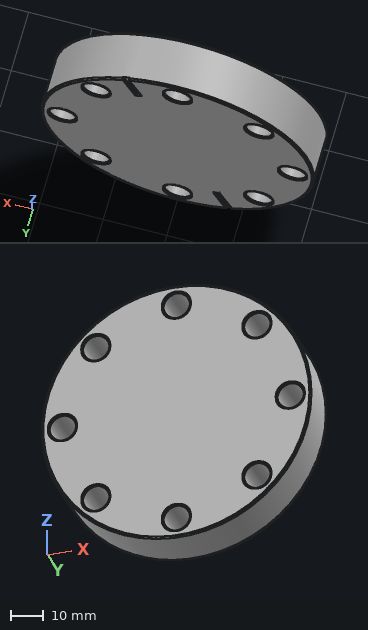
import cadquery as cq

flange_diameter = 85.6
flange_thickness = 15.8
rim_chamfer = 0.5

bolt_count = 8
bolt_circle_radius = 36.2
bolt_hole_diameter = 8.4
bolt_hole_chamfer = 0.4

groove_count = 2
groove_width = 2.0
groove_depth = 0.8

flange_radius = flange_diameter / 2
bolt_pitch_angle = 360 / bolt_count
groove_angle = bolt_pitch_angle / 2
groove_inner_radius = bolt_circle_radius - bolt_hole_diameter / 2
groove_length = flange_radius - groove_inner_radius


def make_disc():
    """Solid disc centred on the origin, chamfered around both faces."""
    disc = cq.Workplane("XZ", origin=(0, flange_thickness / 2, 0))
    disc = disc.circle(flange_radius).extrude(flange_thickness)
    return disc.edges("%CIRCLE").chamfer(rim_chamfer)


def make_bolt_holes():
    """Through holes whose ends flare out into chamfers at both faces."""
    hole_radius = bolt_hole_diameter / 2
    mouth_radius = hole_radius + bolt_hole_chamfer
    half_thickness = flange_thickness / 2
    hole = (
        cq.Workplane("XY")
        .moveTo(0, -half_thickness)
        .lineTo(mouth_radius, -half_thickness)
        .lineTo(hole_radius, -half_thickness + bolt_hole_chamfer)
        .lineTo(hole_radius, half_thickness - bolt_hole_chamfer)
        .lineTo(mouth_radius, half_thickness)
        .lineTo(0, half_thickness)
        .close()
        .revolve(360, (0, 0, 0), (0, 1, 0))
        .translate((0, 0, bolt_circle_radius))
    )
    holes = cq.Workplane("XY")
    for index in range(bolt_count):
        holes = holes.add(hole.rotate((0, 0, 0), (0, 1, 0), index * bolt_pitch_angle))
    return holes.combine()


def make_leak_groove(angle):
    """Rectangular groove open to the rim, turned from +Z toward +X by the angle."""
    cutter_length = 2 * groove_length
    groove = cq.Workplane("XY").box(groove_width, 2 * groove_depth, cutter_length)
    groove = groove.translate((0, flange_thickness / 2, groove_inner_radius + cutter_length / 2))
    return groove.rotate((0, 0, 0), (0, 1, 0), angle)


result = make_disc().cut(make_bolt_holes())
for index in range(groove_count):
    result = result.cut(make_leak_groove(groove_angle + index * 360 / groove_count))